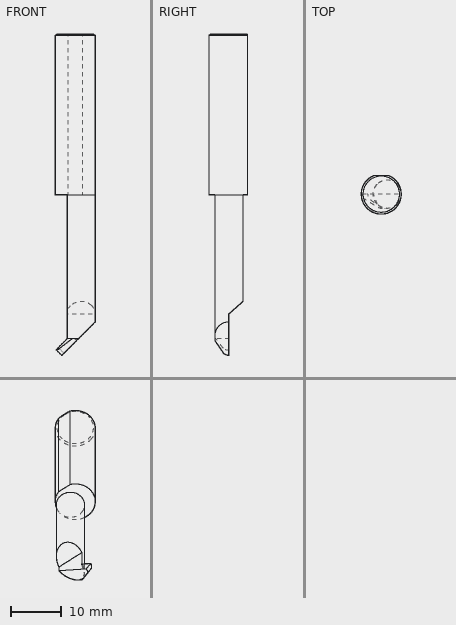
import cadquery as cq
import math

total_length = 63.5
shank_diameter = 7.95
shank_radius = shank_diameter / 2
shank_bottom = 31.75
flat_depth = 0.25
flat_offset = shank_radius - flat_depth
chamfer_width = 0.4
chamfer_height = 0.25

neck_diameter = 5.6
neck_radius = neck_diameter / 2
neck_center_x = shank_radius - neck_radius
neck_bottom = 3.35
relief_bottom = 8.2
relief_top = 10.65

arm_tip_x = -2.65
arm_thickness = 1.6
arm_length = 5.7
nose_depth = 1.1
nose_setback = 0.65
nose_bulge = 0.16
heel_setback = 4.2
top_fall_angle = 15.0

margin = 12.7


def make_shank():
    half_width = shank_radius - chamfer_width
    profile = [
        (0, shank_bottom),
        (shank_radius, shank_bottom),
        (shank_radius, total_length - chamfer_height),
        (half_width, total_length),
        (0, total_length),
    ]
    shank = cq.Workplane("XZ").polyline(profile).close().revolve(360, (0, 0, 0), (0, 1, 0))
    flat_cutter = (
        cq.Workplane("XY", origin=(0, flat_offset, shank_bottom))
        .rect(shank_diameter, margin)
        .extrude(total_length)
        .translate((0, margin / 2, 0))
    )
    return shank.cut(flat_cutter)


def make_neck():
    neck = (
        cq.Workplane("XY", origin=(neck_center_x, 0, neck_bottom))
        .circle(neck_radius)
        .extrude(shank_bottom - neck_bottom)
    )
    relief = (
        cq.Workplane("YZ", origin=(-margin, 0, 0))
        .polyline([
            (0, 0),
            (0, relief_bottom),
            (neck_radius, relief_top),
            (margin, relief_top),
            (margin, 0),
        ])
        .close()
        .extrude(2 * margin)
    )
    end_cutter = (
        cq.Workplane("XZ", origin=(0, margin, 0))
        .polyline([(arm_tip_x, 0), (arm_tip_x + margin, margin), (arm_tip_x + margin, 0)])
        .close()
        .extrude(2 * margin)
    )
    return neck.cut(relief).cut(end_cutter)


def make_arm():
    arm_plane = cq.Plane(origin=(arm_tip_x, 0, 0), xDir=(1, 0, 1), normal=(-1, 0, 1))
    chord = math.hypot(nose_setback, nose_depth)
    nose_middle = (
        nose_setback / 2 - nose_bulge * nose_depth / chord,
        -nose_depth / 2 - nose_bulge * nose_setback / chord,
    )
    arm = (
        cq.Workplane(arm_plane)
        .threePointArc(nose_middle, (nose_setback, -nose_depth))
        .lineTo(heel_setback, -neck_radius)
        .lineTo(arm_length, -neck_radius)
        .lineTo(arm_length, 0)
        .close()
        .extrude(arm_thickness)
    )
    side_plane = cq.Plane(origin=(arm_tip_x, 0, 0), xDir=(0, 1, 0), normal=(1, 0, 1))
    fall = neck_radius * math.tan(math.radians(top_fall_angle))
    top_cutter = (
        cq.Workplane(side_plane)
        .polyline([
            (0, arm_thickness),
            (-neck_radius, arm_thickness - fall),
            (-neck_radius, arm_thickness),
        ])
        .close()
        .extrude(arm_length)
    )
    neck_limit = (
        cq.Workplane("XY", origin=(neck_center_x, 0, 0))
        .circle(neck_radius)
        .extrude(shank_bottom)
    )
    free_end = cq.Workplane("XY").box(margin, margin, neck_bottom, centered=(True, True, False))
    return arm.cut(top_cutter).intersect(neck_limit.union(free_end))


result = make_shank().union(make_neck()).union(make_arm())